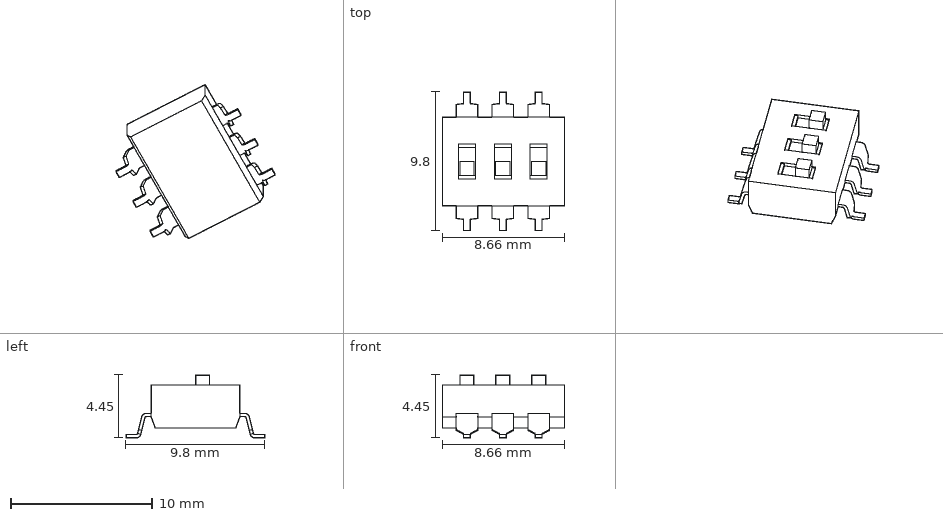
import cadquery as cq
import math


overall_depth = 9.8
overall_height = 4.45

body_width = 8.66
body_depth = 6.29
body_bottom = 0.7
body_top = 3.75
taper_height = 0.79
taper_inset = 0.29

position_count = 3
pitch = 2.54
row_offset = -0.05
position_xs = [row_offset + (i - (position_count - 1) / 2) * pitch for i in range(position_count)]

window_width = 1.2
window_length = 2.49
ledge_depth = 0.1
well_length = 2.0
well_depth = 0.28

knob_size = 1.0

lead_thickness = 0.245
lead_top = 1.74
blade_width = 1.54
foot_width = 0.5
bend_start = 3.48
bend_angle = math.radians(76)
inner_radius = 0.1
neck_length = 0.28

outer_radius = inner_radius + lead_thickness
middle_radius = inner_radius + lead_thickness / 2
bend_run = middle_radius * math.sin(bend_angle)
bend_drop = middle_radius * (1 - math.cos(bend_angle))
slope_length = (lead_top - lead_thickness - 2 * bend_drop) / math.sin(bend_angle)
slope_run = slope_length * math.cos(bend_angle)
upper_centre = (bend_start, lead_top - outer_radius)
lower_centre = (bend_start + 2 * bend_run + slope_run, outer_radius)


def arc_point(centre, radius, angle):
    """Point (y, z) on a circle, with the angle measured from +Z toward +Y."""
    return (centre[0] + radius * math.sin(angle), centre[1] + radius * math.cos(angle))


def upper_bend(radius, fraction):
    return arc_point(upper_centre, radius, bend_angle * fraction)


def lower_bend(radius, fraction):
    return arc_point(lower_centre, radius, math.pi + bend_angle * fraction)


def make_body():
    half = body_depth / 2
    taper_top = body_bottom + taper_height
    outline = [
        (-half, body_top),
        (-half, taper_top),
        (-half + taper_inset, body_bottom),
        (half - taper_inset, body_bottom),
        (half, taper_top),
        (half, body_top),
    ]
    return cq.Workplane("YZ").polyline(outline).close().extrude(body_width / 2, both=True)


def make_window(x):
    """Material to remove for one actuator window."""
    recess = cq.Workplane("XY").box(
        window_width, window_length, ledge_depth, centered=(True, True, False)
    ).translate((x, 0, body_top - ledge_depth))
    well = cq.Workplane("XY").box(
        window_width, well_length, well_depth, centered=(True, True, False)
    ).translate((x, 0, body_top - well_depth))
    return recess.union(well)


def make_knob(x):
    well_floor = body_top - well_depth
    return cq.Workplane("XY").box(
        knob_size, knob_size, overall_height - well_floor, centered=(True, False, False)
    ).translate((x, -well_length / 2, well_floor))


def make_shoulder():
    """Full-width flat and upper bend leaving the housing."""
    profile = (
        cq.Workplane("YZ")
        .moveTo(body_depth / 2, lead_top)
        .lineTo(bend_start, lead_top)
        .threePointArc(upper_bend(outer_radius, 0.5), upper_bend(outer_radius, 1))
        .lineTo(*upper_bend(inner_radius, 1))
        .threePointArc(upper_bend(inner_radius, 0.5), upper_bend(inner_radius, 0))
        .lineTo(body_depth / 2, lead_top - lead_thickness)
        .close()
    )
    return profile.extrude(blade_width / 2, both=True)


def make_blade():
    """Sloping plate that necks down to the foot width at its lower end."""
    origin_y, origin_z = upper_bend(inner_radius, 1)
    slope_plane = cq.Plane(
        origin=(0, origin_y, origin_z),
        xDir=(1, 0, 0),
        normal=(0, math.sin(bend_angle), math.cos(bend_angle)),
    )
    outline = [
        (-blade_width / 2, 0),
        (blade_width / 2, 0),
        (blade_width / 2, slope_length - neck_length),
        (foot_width / 2, slope_length),
        (-foot_width / 2, slope_length),
        (-blade_width / 2, slope_length - neck_length),
    ]
    return cq.Workplane(slope_plane).polyline(outline).close().extrude(lead_thickness)


def make_foot():
    """Narrow lower bend and the foot that rests on the seating plane."""
    profile = (
        cq.Workplane("YZ")
        .moveTo(overall_depth / 2, 0)
        .lineTo(lower_centre[0], 0)
        .threePointArc(lower_bend(outer_radius, 0.5), lower_bend(outer_radius, 1))
        .lineTo(*lower_bend(inner_radius, 1))
        .threePointArc(lower_bend(inner_radius, 0.5), lower_bend(inner_radius, 0))
        .lineTo(overall_depth / 2, lead_thickness)
        .close()
    )
    return profile.extrude(foot_width / 2, both=True)


back_lead = make_shoulder().union(make_blade()).union(make_foot())
front_lead = back_lead.mirror("XZ")

result = make_body()
for x in position_xs:
    result = result.cut(make_window(x)).union(make_knob(x))
    result = result.union(back_lead.translate((x, 0, 0)))
    result = result.union(front_lead.translate((x, 0, 0)))